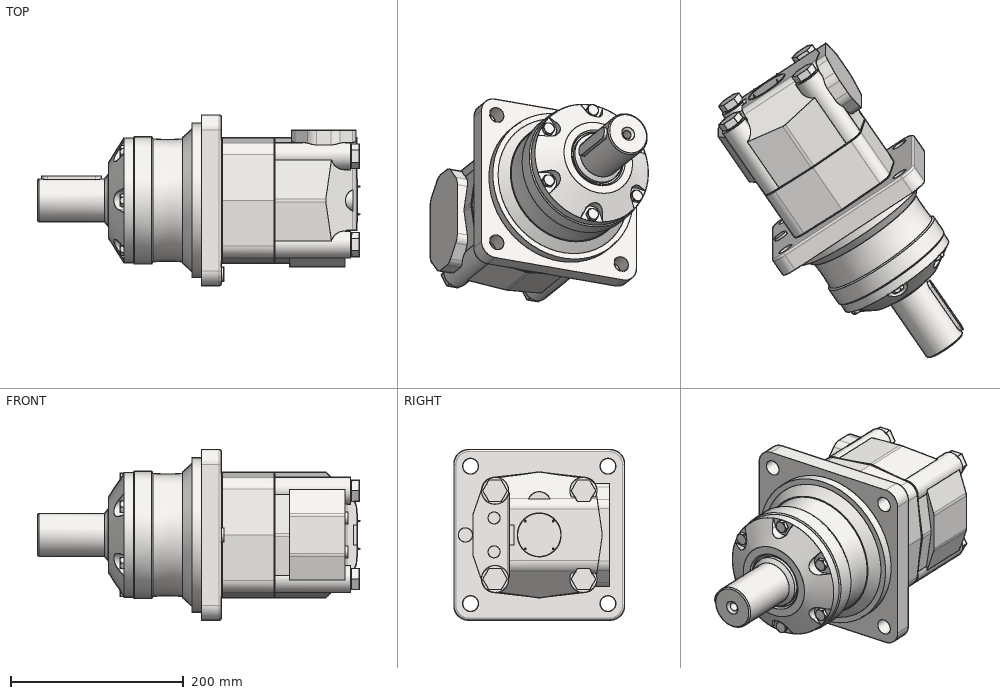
import cadquery as cq
import math


SHAFT_RADIUS = 25.0
SHAFT_EDGE = 1.5
SHOULDER_RADIUS = 30.1
SHOULDER_START_X = 77.8
SHOULDER_LENGTH = 4.0
CENTRE_HOLE_DIAMETER = 10.0
CENTRE_SINK_DIAMETER = 16.0
CENTRE_HOLE_DEPTH = 28.0
KEY_START_X = 4.5
KEY_LENGTH = 70.0
KEY_WIDTH = 14.0
KEY_RISE = 3.5
KEY_SINK = 5.5

COVER_FACE_X = 82.2
COVER_CONE_END_X = 100.0
COVER_BACK_X = 111.0
COVER_FACE_RADIUS = 43.7
COVER_RADIUS = 72.5
SEAL_RECESS_RADIUS = 34.5
SEAL_RECESS_DEPTH = 3.7
SEAL_RECESS_CHAMFER = 2.0
SCREW_COUNT = 6
SCREW_CIRCLE_RADIUS = 65.0
SCREW_HEAD_WIDTH = 13.0
SCREW_HEAD_HEIGHT = 4.5
POCKET_RADIUS = 11.2
POCKET_WALL_ANGLE = 20
POCKET_LENGTH = 22.5

RING_RADIUS = 74.0
RING_FRONT_EDGE = 1.5
RING_END_X = 132.5
NECK_START_X = 134.0
NECK_END_X = 168.0
NECK_RADIUS = 71.5
NECK_LIP = 1.0
NECK_WAIST_RADIUS = 70.5
PILOT_FRONT_X = 179.0
PILOT_RADIUS = 89.7
PILOT_CONE_RADIUS = 83.0
FLANGE_FRONT_X = 190.0
FLANGE_BACK_X = 213.0
FLANGE_SIZE = 198
FLANGE_CORNER_RADIUS = 17.2
FLANGE_BACK_EDGE = 2.5
MOUNT_HOLE_DIAMETER = 18.0
MOUNT_HOLE_OFFSET = 79.5

DRAIN_PLUG_DIAMETER = 16.5
DRAIN_PLUG_OFFSET = 85.5
DRAIN_PLUG_RISE = 3.0
DRAIN_PLUG_SINK = 7.5

RIDGE = 73.0
BOLT_OFFSET = 51.2
CORNER_RADIUS = 15.7
GEAR_BACK_X = 275.0
JOINT_GROOVE_WIDTH = 1.0
JOINT_GROOVE_DEPTH = 0.7
COLUMN_END_X = 363.0
COVER_RIDGE_FLAT = 2.0
COVER_EDGE = 48.2
COVER_EDGE_HEIGHT = 66.0
END_FACE_X = 370.0
SLOPE_START_X = 334.0
SLOPE_BLEND_RADIUS = 17.2
STEP_FACE = 34.8
STEP_BLEND_RADIUS = 2.2
NOTCH_WIDTH = 23.0
NOTCH_LENGTH = 3.7
NOTCH_DEPTH = 5.5

BOLT_HEAD_WIDTH = 24.5
BOLT_HEAD_END_X = 373.0
BOLT_WASHER_DIAMETER = 22.5
BOLT_WASHER_HEIGHT = 1.0

PAD_START_X = 292.3
PAD_END_X = 356.5
PAD_HALF_HEIGHT = 52.5
PAD_FLAT_HALF_HEIGHT = 23.0
PAD_FACE = 77.0
PAD_ROOT = 67.0
PAD_BLEND_RADIUS = 11.2
STUD_DIAMETER = 14.0
STUD_SPACING = 39.2
STUD_Y = -52.5
STUD_RISE = 3.5

PORT_FACE = 81.5
PORT_START_X = 294.0
PORT_END_X = 369.5
PORT_HALF_HEIGHT = 59.8
PORT_CHAMFER = 23.0
PORT_CORNER_RADIUS = 15

VALVE_BOSS_RADIUS = 13.0
VALVE_BOSS_HEIGHT = 37.0
VALVE_BOSS_END_X = 365.5
END_PLUG_RADIUS = 25.5
END_PLUG_RISE = 0.7
END_PLUG_SINK = 7.5
END_PLUG_EDGE = 0.5
PIP_OFFSET = 16.0
PIP_RADIUS = 1.0
PIP_TAPER = 12
TOTAL_LENGTH = 373.8


def plane_at(x):
    """Plane across the motor axis at x: its local axes are Y and Z, its normal +X."""
    return cq.Workplane("YZ", origin=(x, 0, 0))


def revolve_about_x(outline):
    return outline.close().revolve(360, (0, 0, 0), (1, 0, 0))


def hex_head(x, y, z, width, height):
    """Hexagon with flats facing +Z and -Z; the height may be negative to grow toward -X."""
    across_corners = width / math.cos(math.radians(30))
    return plane_at(x).center(y, z).polygon(6, across_corners).extrude(height)


def screw_positions():
    for index in range(SCREW_COUNT):
        angle = math.radians(90 + index * 360 / SCREW_COUNT)
        yield angle, SCREW_CIRCLE_RADIUS * math.cos(angle), SCREW_CIRCLE_RADIUS * math.sin(angle)


def bolt_positions():
    return [(y, z) for y in (-BOLT_OFFSET, BOLT_OFFSET) for z in (-BOLT_OFFSET, BOLT_OFFSET)]


def make_key():
    """Round-ended parallel key on the +Y side of the shaft."""
    bottom = SHAFT_RADIUS - KEY_SINK
    return (
        cq.Workplane("XZ", origin=(KEY_START_X + KEY_LENGTH / 2, bottom, 0))
        .slot2D(KEY_LENGTH, KEY_WIDTH)
        .extrude(-(KEY_SINK + KEY_RISE))
    )


def make_shaft(key):
    shoulder_end_x = SHOULDER_START_X + SHOULDER_LENGTH
    shaft = revolve_about_x(
        cq.Workplane("XY")
        .lineTo(0, SHAFT_RADIUS - SHAFT_EDGE)
        .lineTo(SHAFT_EDGE, SHAFT_RADIUS)
        .lineTo(SHOULDER_START_X, SHAFT_RADIUS)
        .lineTo(shoulder_end_x, SHOULDER_RADIUS)
        .lineTo(COVER_BACK_X, SHOULDER_RADIUS)
        .lineTo(COVER_BACK_X, 0)
    )
    hole_radius = CENTRE_HOLE_DIAMETER / 2
    sink_radius = CENTRE_SINK_DIAMETER / 2
    centre_hole = revolve_about_x(
        cq.Workplane("XY")
        .lineTo(0, sink_radius)
        .lineTo(sink_radius - hole_radius, hole_radius)
        .lineTo(CENTRE_HOLE_DEPTH, hole_radius)
        .lineTo(CENTRE_HOLE_DEPTH + hole_radius, 0)
    )
    return shaft.cut(centre_hole).cut(key)


def screw_pocket(angle, y, z):
    """Pocket with a round inner end and walls that spread outward."""
    spread = math.radians(POCKET_WALL_ANGLE)
    tangent_u = -POCKET_RADIUS * math.sin(spread)
    tangent_v = POCKET_RADIUS * math.cos(spread)
    outer_v = tangent_v + (POCKET_LENGTH - tangent_u) * math.tan(spread)
    pocket = (
        plane_at(COVER_FACE_X)
        .moveTo(POCKET_LENGTH, -outer_v)
        .lineTo(tangent_u, -tangent_v)
        .threePointArc((-POCKET_RADIUS, 0), (tangent_u, tangent_v))
        .lineTo(POCKET_LENGTH, outer_v)
        .close()
        .extrude(COVER_CONE_END_X - COVER_FACE_X)
    )
    return pocket.rotate((0, 0, 0), (1, 0, 0), math.degrees(angle)).translate((0, y, z))


def screw_head(y, z):
    """Hexagon head whose corners are turned off at the front."""
    head = hex_head(COVER_CONE_END_X, y, z, SCREW_HEAD_WIDTH, -SCREW_HEAD_HEIGHT)
    cone = (
        plane_at(COVER_CONE_END_X - SCREW_HEAD_HEIGHT)
        .center(y, z)
        .circle(SCREW_HEAD_WIDTH / 2)
        .extrude(SCREW_HEAD_HEIGHT, taper=-30)
    )
    return head.intersect(cone)


def make_front_cover():
    recess_floor_x = COVER_FACE_X + SEAL_RECESS_DEPTH
    cover = revolve_about_x(
        cq.Workplane("XY")
        .moveTo(COVER_FACE_X, SEAL_RECESS_RADIUS)
        .lineTo(COVER_FACE_X, COVER_FACE_RADIUS)
        .lineTo(COVER_CONE_END_X, COVER_RADIUS)
        .lineTo(COVER_BACK_X, COVER_RADIUS)
        .lineTo(COVER_BACK_X, SHOULDER_RADIUS)
        .lineTo(recess_floor_x, SHOULDER_RADIUS)
        .lineTo(recess_floor_x, SEAL_RECESS_RADIUS - SEAL_RECESS_CHAMFER)
        .lineTo(COVER_FACE_X + SEAL_RECESS_CHAMFER, SEAL_RECESS_RADIUS - SEAL_RECESS_CHAMFER)
    )
    for angle, y, z in screw_positions():
        cover = cover.cut(screw_pocket(angle, y, z)).union(screw_head(y, z))
    return cover


def make_drain_plug():
    return (
        plane_at(FLANGE_BACK_X - DRAIN_PLUG_SINK)
        .center(-DRAIN_PLUG_OFFSET, 0)
        .circle(DRAIN_PLUG_DIAMETER / 2)
        .extrude(DRAIN_PLUG_SINK + DRAIN_PLUG_RISE)
    )


def make_housing(drain_plug):
    nose = revolve_about_x(
        cq.Workplane("XY")
        .moveTo(COVER_BACK_X, 0)
        .lineTo(COVER_BACK_X, RING_RADIUS - RING_FRONT_EDGE)
        .lineTo(COVER_BACK_X + RING_FRONT_EDGE, RING_RADIUS)
        .lineTo(RING_END_X, RING_RADIUS)
        .lineTo(NECK_START_X, NECK_RADIUS)
        .threePointArc(((NECK_START_X + NECK_END_X) / 2, NECK_WAIST_RADIUS), (NECK_END_X, NECK_RADIUS))
        .lineTo(NECK_END_X, NECK_RADIUS + NECK_LIP)
        .lineTo(PILOT_FRONT_X, PILOT_CONE_RADIUS)
        .lineTo(PILOT_FRONT_X, PILOT_RADIUS)
        .lineTo(FLANGE_FRONT_X, PILOT_RADIUS)
        .lineTo(FLANGE_FRONT_X, 0)
    )
    flange = (
        plane_at(FLANGE_FRONT_X)
        .rect(FLANGE_SIZE, FLANGE_SIZE)
        .extrude(FLANGE_BACK_X - FLANGE_FRONT_X)
        .edges("|X")
        .fillet(FLANGE_CORNER_RADIUS)
        .faces(">X")
        .edges()
        .fillet(FLANGE_BACK_EDGE)
    )
    mount_holes = (
        plane_at(FLANGE_FRONT_X)
        .rect(2 * MOUNT_HOLE_OFFSET, 2 * MOUNT_HOLE_OFFSET, forConstruction=True)
        .vertices()
        .circle(MOUNT_HOLE_DIAMETER / 2)
        .extrude(FLANGE_BACK_X - FLANGE_FRONT_X)
    )
    return nose.union(flange.cut(mount_holes)).cut(drain_plug)


def turned(y, z, quarters):
    """Point (y, z) turned clockwise about the motor axis by a number of quarter turns."""
    for _ in range(quarters):
        y, z = z, -y
    return y, z


def gear_outline(x):
    """Square with a low ridge in the middle of each side and round corners."""
    reach = math.hypot(BOLT_OFFSET, RIDGE - BOLT_OFFSET)
    fall = math.atan2(RIDGE - BOLT_OFFSET, BOLT_OFFSET) - math.asin(CORNER_RADIUS / reach)
    near = BOLT_OFFSET + CORNER_RADIUS * math.sin(fall)
    far = BOLT_OFFSET + CORNER_RADIUS * math.cos(fall)
    middle = BOLT_OFFSET + CORNER_RADIUS * math.sqrt(0.5)
    outline = plane_at(x).moveTo(0, RIDGE)
    for quarters in range(4):
        outline = outline.lineTo(*turned(near, far, quarters))
        outline = outline.threePointArc(turned(middle, middle, quarters), turned(far, near, quarters))
        if quarters < 3:
            outline = outline.lineTo(*turned(RIDGE, 0, quarters))
    return outline.close()


def make_gear_set():
    """Ridged block with a fine groove around each end, where it meets its neighbours."""
    core = gear_outline(FLANGE_BACK_X).offset2D(-JOINT_GROOVE_DEPTH).extrude(GEAR_BACK_X - FLANGE_BACK_X)
    body_start_x = FLANGE_BACK_X + JOINT_GROOVE_WIDTH
    body_end_x = GEAR_BACK_X - JOINT_GROOVE_WIDTH
    return core.union(gear_outline(body_start_x).extrude(body_end_x - body_start_x))


def cover_block():
    """Ridged block between the bolt columns, stepped in and notched on -Y behind the pad."""
    quarter = [
        (COVER_RIDGE_FLAT, RIDGE),
        (COVER_EDGE, COVER_EDGE_HEIGHT),
        (COVER_EDGE_HEIGHT, COVER_EDGE),
        (RIDGE, COVER_RIDGE_FLAT),
    ]
    lower_right = [(y, -z) for y, z in reversed(quarter)]
    lower_left = [(-y, -z) for y, z in quarter]
    upper_left = [(-y, z) for y, z in reversed(quarter)]
    outline = quarter + lower_right + lower_left + upper_left
    block = plane_at(GEAR_BACK_X).polyline(outline).close().extrude(END_FACE_X - GEAR_BACK_X)
    step = (
        cq.Workplane("XY")
        .box(END_FACE_X - PAD_END_X, RIDGE - STEP_FACE, 2 * RIDGE, centered=(False, False, True))
        .translate((PAD_END_X, -RIDGE, 0))
        .edges("|Z and <X and >Y")
        .fillet(STEP_BLEND_RADIUS)
    )
    notch = (
        cq.Workplane("XY")
        .box(NOTCH_LENGTH, NOTCH_DEPTH, NOTCH_WIDTH, centered=(False, False, True))
        .translate((END_FACE_X - NOTCH_LENGTH, -STEP_FACE, 0))
    )
    return block.cut(step).cut(notch)


def slope_envelope():
    """Space below the 45 degree slopes that lead from the ridges at +Z and -Z to the end face."""
    slope_end = RIDGE - (END_FACE_X - SLOPE_START_X)
    return (
        cq.Workplane("XZ", origin=(0, -RIDGE, 0))
        .polyline([
            (GEAR_BACK_X, -RIDGE),
            (SLOPE_START_X, -RIDGE),
            (END_FACE_X, -slope_end),
            (END_FACE_X, slope_end),
            (SLOPE_START_X, RIDGE),
            (GEAR_BACK_X, RIDGE),
        ])
        .close()
        .extrude(-2 * RIDGE)
        .faces(">X")
        .edges("|Y")
        .fillet(SLOPE_BLEND_RADIUS)
    )


def cover_pad():
    """Flat-faced pad on -Y whose upper and lower thirds slope back."""
    return (
        plane_at(PAD_START_X)
        .polyline([
            (-BOLT_OFFSET, -PAD_HALF_HEIGHT),
            (-PAD_ROOT, -PAD_HALF_HEIGHT),
            (-PAD_FACE, -PAD_FLAT_HALF_HEIGHT),
            (-PAD_FACE, PAD_FLAT_HALF_HEIGHT),
            (-PAD_ROOT, PAD_HALF_HEIGHT),
            (-BOLT_OFFSET, PAD_HALF_HEIGHT),
        ])
        .close()
        .extrude(PAD_END_X - PAD_START_X)
        .faces("<Y")
        .edges("|X")
        .fillet(PAD_BLEND_RADIUS)
    )


def pad_studs():
    """Two short round studs on the rear end of the pad."""
    return (
        plane_at(PAD_START_X)
        .pushPoints([(STUD_Y, -STUD_SPACING / 2), (STUD_Y, STUD_SPACING / 2)])
        .circle(STUD_DIAMETER / 2)
        .extrude(PAD_END_X + STUD_RISE - PAD_START_X)
    )


def port_block():
    """Octagonal block on +Y with rounded corners."""
    length = PORT_END_X - PORT_START_X
    return (
        cq.Workplane("XZ", origin=(PORT_START_X + length / 2, BOLT_OFFSET, 0))
        .rect(length, 2 * PORT_HALF_HEIGHT)
        .extrude(-(PORT_FACE - BOLT_OFFSET))
        .edges("|Y")
        .chamfer(PORT_CHAMFER)
        .edges("|Y")
        .fillet(PORT_CORNER_RADIUS)
    )


def bolt_column(y, z):
    """Round column that carries a hexagon bolt head on a narrower collar."""
    column = plane_at(GEAR_BACK_X).center(y, z).circle(CORNER_RADIUS).extrude(COLUMN_END_X - GEAR_BACK_X)
    collar = plane_at(COLUMN_END_X).center(y, z).circle(BOLT_WASHER_DIAMETER / 2).extrude(BOLT_WASHER_HEIGHT)
    head_x = COLUMN_END_X + BOLT_WASHER_HEIGHT
    return column.union(collar).union(hex_head(head_x, y, z, BOLT_HEAD_WIDTH, BOLT_HEAD_END_X - head_x))


def make_end_plug():
    """Round plug in the middle of the end face with four small pips."""
    plug = (
        plane_at(END_FACE_X - END_PLUG_SINK)
        .circle(END_PLUG_RADIUS)
        .extrude(END_PLUG_SINK + END_PLUG_RISE)
        .faces(">X")
        .edges()
        .chamfer(END_PLUG_EDGE)
    )
    pips = (
        plane_at(END_FACE_X)
        .rect(2 * PIP_OFFSET, 2 * PIP_OFFSET, forConstruction=True)
        .vertices()
        .circle(PIP_RADIUS)
        .extrude(TOTAL_LENGTH - END_FACE_X, taper=PIP_TAPER)
    )
    return plug.union(pips)


def make_end_cover(end_plug):
    cover = cover_block().intersect(slope_envelope())
    cover = cover.union(cover_pad()).union(pad_studs()).union(port_block())
    valve_boss = (
        plane_at(GEAR_BACK_X)
        .center(0, VALVE_BOSS_HEIGHT)
        .circle(VALVE_BOSS_RADIUS)
        .extrude(VALVE_BOSS_END_X - GEAR_BACK_X)
    )
    cover = cover.union(valve_boss)
    for y, z in bolt_positions():
        cover = cover.union(bolt_column(y, z))
    return cover.cut(end_plug)


key = make_key()
shaft = make_shaft(key)
front_cover = make_front_cover()
drain_plug = make_drain_plug()
housing = make_housing(drain_plug)
gear_set = make_gear_set()
end_plug = make_end_plug()
end_cover = make_end_cover(end_plug)

bodies = [shaft, key, front_cover, housing, drain_plug, gear_set, end_cover, end_plug]
result = cq.Compound.makeCompound([body.solids().val() for body in bodies])